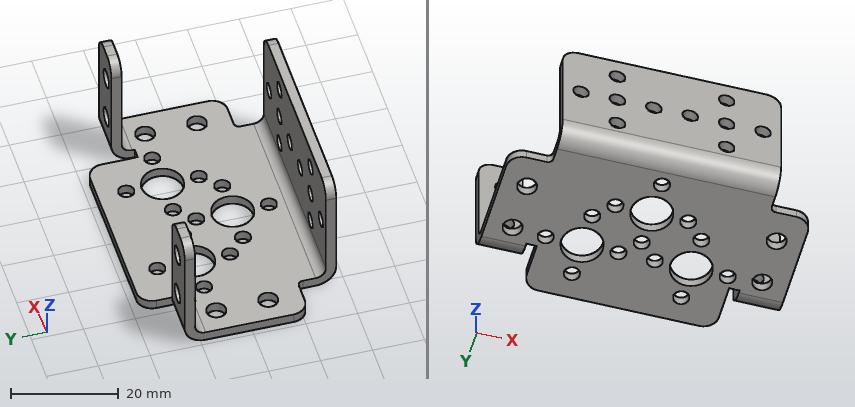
import math

import cadquery as cq

thickness = 2.0
bend_inner_radius = 2.0
bend_outer_radius = bend_inner_radius + thickness
corner_radius = 3.0
neck_fillet_radius = 1.0

base_width = 58.0
base_depth = 37.0
height = 25.0
wing_front_y = 7.5
tab_back_y = 31.5
notch_bottom_y = 27.0

flange_width = 42.0
tongue_width = 37.0
notch_width = 2.0
tab_inner_x = tongue_width / 2 + notch_width
front_bend_end_y = bend_outer_radius
rear_bend_end_y = tab_back_y - bend_outer_radius

small_hole_diameter = 3.0
mount_hole_diameter = 3.7
horn_hole_diameter = 8.0
hole_pitch = 7.0
mount_x = 24.0
mount_spacing = 10.0
front_horn_y = 14.0
rear_horn_x = 1.5 * hole_pitch
rear_horn_y = front_horn_y + rear_horn_x
flange_row_count = 6
flange_row_z = 13.5
wing_hole_front_y = 14.0
tab_hole_low_z = 8.5


def plate(x_min, x_max, y_min, y_max):
    """Flat piece of the base with its underside at Z = 0."""
    size_x = x_max - x_min
    size_y = y_max - y_min
    return cq.Workplane("XY").box(size_x, size_y, thickness, centered=False).translate((x_min, y_min, 0))


def make_base():
    """Wings, rear tongue and front neck, all in the plane of the base."""
    half_base = base_width / 2
    half_tongue = tongue_width / 2
    half_neck = flange_width / 2

    wings = plate(-half_base, half_base, wing_front_y, notch_bottom_y)
    wings = wings.edges("|Z and <Y").fillet(corner_radius)

    tongue = plate(-half_tongue, half_tongue, wing_front_y, base_depth)
    tongue = tongue.edges("|Z and >Y").fillet(corner_radius)

    neck = plate(-half_neck, half_neck, front_bend_end_y, notch_bottom_y)
    base = wings.union(tongue).union(neck)

    for side in (-1, 1):
        inner_corner = cq.selectors.NearestToPointSelector((side * half_neck, wing_front_y, thickness / 2))
        base = base.edges("|Z").edges(inner_corner).fillet(neck_fillet_radius)

    for x_min in (-half_base, tab_inner_x):
        x_max = x_min + half_base - tab_inner_x
        base = base.union(plate(x_min, x_max, wing_front_y + corner_radius, rear_bend_end_y))
    return base


def bent_wall(x_min, x_max, outer_y, inward):
    """Quarter-round bend and upright wall; inward is the Y direction from the wall toward the base."""
    inner_y = outer_y + inward * thickness
    bend_end_y = outer_y + inward * bend_outer_radius
    mid_arc_rise = 1 - math.sin(math.pi / 4)
    outer_mid = (
        outer_y + inward * bend_outer_radius * mid_arc_rise,
        bend_outer_radius * mid_arc_rise,
    )
    inner_mid = (
        inner_y + inward * bend_inner_radius * mid_arc_rise,
        thickness + bend_inner_radius * mid_arc_rise,
    )
    wall = (
        cq.Workplane("YZ")
        .moveTo(bend_end_y, 0)
        .threePointArc(outer_mid, (outer_y, bend_outer_radius))
        .lineTo(outer_y, height)
        .lineTo(inner_y, height)
        .lineTo(inner_y, bend_outer_radius)
        .threePointArc(inner_mid, (bend_end_y, thickness))
        .close()
        .extrude(x_max - x_min)
        .translate((x_min, 0, 0))
    )
    return wall.edges("|Y and >Z").fillet(corner_radius)


def base_holes(points, diameter):
    """Cutters through the base at (x, y) points."""
    return cq.Workplane("XY").pushPoints(points).circle(diameter / 2).extrude(thickness)


def wall_holes(points, diameter, front_y):
    """Cutters through an upright wall, at (x, z) points, whose front face is at front_y."""
    holes = cq.Workplane("XZ").pushPoints(points).circle(diameter / 2).extrude(-thickness)
    return holes.translate((0, front_y, 0))


def cut_horn_patterns(body):
    """Three large holes, each ringed by four small holes."""
    centres = [(0, front_horn_y), (-rear_horn_x, rear_horn_y), (rear_horn_x, rear_horn_y)]
    offsets = [(hole_pitch, 0), (-hole_pitch, 0), (0, hole_pitch), (0, -hole_pitch)]
    ring = [(x + dx, y + dy) for x, y in centres for dx, dy in offsets]
    body = body.cut(base_holes(centres, horn_hole_diameter))
    return body.cut(base_holes(ring, small_hole_diameter))


def cut_mount_holes(body):
    """Pairs of mounting holes in each wing and each rear tab."""
    for x in (-mount_x, mount_x):
        for step in (0, mount_spacing):
            wing_point = (x, wing_hole_front_y + step)
            tab_point = (x, tab_hole_low_z + step)
            body = body.cut(base_holes([wing_point], mount_hole_diameter))
            body = body.cut(wall_holes([tab_point], mount_hole_diameter, tab_back_y - thickness))
    return body


def cut_flange_holes(body):
    """Row of six holes in the front flange, with a hole above and below the second and fifth."""
    first_x = -(flange_row_count - 1) * hole_pitch / 2
    row = [(first_x + index * hole_pitch, flange_row_z) for index in range(flange_row_count)]
    outer_holes = [
        (side * rear_horn_x, flange_row_z + offset)
        for side in (-1, 1)
        for offset in (-hole_pitch, hole_pitch)
    ]
    return body.cut(wall_holes(row + outer_holes, small_hole_diameter, 0))


bracket = make_base()
bracket = bracket.union(bent_wall(-flange_width / 2, flange_width / 2, 0, 1))
bracket = bracket.union(bent_wall(-base_width / 2, -tab_inner_x, tab_back_y, -1))
bracket = bracket.union(bent_wall(tab_inner_x, base_width / 2, tab_back_y, -1))
bracket = cut_horn_patterns(bracket)
bracket = cut_mount_holes(bracket)
result = cut_flange_holes(bracket)